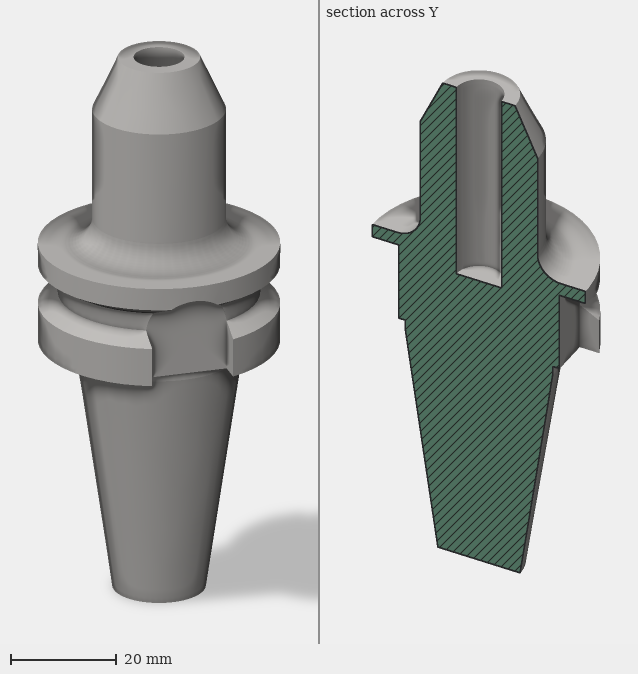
import cadquery as cq
import math

gauge_z = 48.5
flange_bottom_z = 50.4
flange_top_z = 70.4
nose_cone_z = 97.8
total_height = 108.4

taper_end_radius = 8.9
gauge_radius = 15.9
flange_radius = 23.0
groove_radius = 19.2
body_radius = 12.7
nose_radius = 7.8
neck_fillet = 5.0

groove_center_z = 62.0
groove_floor_width = 3.6
groove_flank_angle = 30.0
flank_height = (flange_radius - groove_radius) * math.tan(math.radians(groove_flank_angle))
floor_half = groove_floor_width / 2
mouth_half = floor_half + flank_height

slot_width = 16.0
slot_floor_x = 17.3
slot_top_z = 67.4

bore_diameter = 9.6
bore_depth = 43.4


def make_body():
    """Revolve the taper, flange, neck and nose as one profile."""
    fillet_center_r = body_radius + neck_fillet
    fillet_center_z = flange_top_z + neck_fillet
    arc_reach = neck_fillet * math.sqrt(0.5)
    return (
        cq.Workplane("XZ")
        .lineTo(taper_end_radius, 0)
        .lineTo(gauge_radius, gauge_z)
        .lineTo(gauge_radius, flange_bottom_z)
        .lineTo(flange_radius, flange_bottom_z)
        .lineTo(flange_radius, groove_center_z - mouth_half)
        .lineTo(groove_radius, groove_center_z - floor_half)
        .lineTo(groove_radius, groove_center_z + floor_half)
        .lineTo(flange_radius, groove_center_z + mouth_half)
        .lineTo(flange_radius, flange_top_z)
        .lineTo(fillet_center_r, flange_top_z)
        .threePointArc(
            (fillet_center_r - arc_reach, fillet_center_z - arc_reach),
            (body_radius, fillet_center_z),
        )
        .lineTo(body_radius, nose_cone_z)
        .lineTo(nose_radius, total_height)
        .lineTo(0, total_height)
        .close()
        .revolve(360, (0, 0, 0), (0, 1, 0))
    )


def make_drive_slot(side):
    """Round-topped slot cutter on the +X (side = 1) or -X (side = -1) side."""
    half_width = slot_width / 2
    arc_center_z = slot_top_z - half_width
    cutter_depth = flange_radius - slot_floor_x + 1.1
    return (
        cq.Workplane("YZ", origin=(side * slot_floor_x, 0, 0))
        .moveTo(-half_width, flange_bottom_z)
        .lineTo(half_width, flange_bottom_z)
        .lineTo(half_width, arc_center_z)
        .threePointArc((0, slot_top_z), (-half_width, arc_center_z))
        .close()
        .extrude(side * cutter_depth)
    )


result = make_body()
for side in (-1, 1):
    result = result.cut(make_drive_slot(side))

result = result.faces(">Z").workplane().hole(bore_diameter, bore_depth)